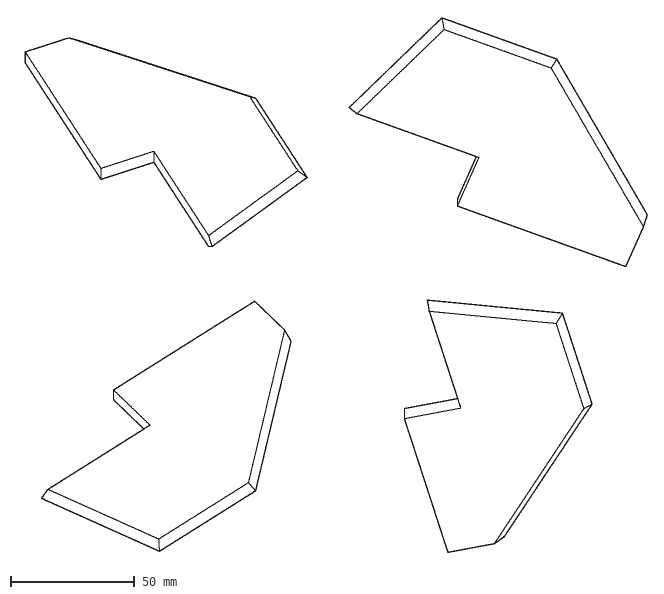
import cadquery as cq
import math

length = 130.0
width = 75.0
thickness = 6.4

step_x = 73.5
shoulder_y = 23.5
top_left_x = 60.0
top_right_x = 110.1

left_corner = (0, shoulder_y)
top_left = (top_left_x, width)
top_right = (top_right_x, width)
right_corner = (length, shoulder_y)

half_thickness = thickness / 2
cutter_size = 2 * half_thickness
overrun = thickness


def bevel_cutter(start, end, side):
    """45 degree wedge along a clockwise edge; side is +1 or -1 for the two faces."""
    dx = end[0] - start[0]
    dy = end[1] - start[1]
    edge_length = math.hypot(dx, dy)
    ux = dx / edge_length
    uy = dy / edge_length
    section = cq.Plane(
        origin=(start[0] - overrun * ux, start[1] - overrun * uy, 0),
        xDir=(uy, -ux, 0),
        normal=(ux, uy, 0),
    )
    wedge = [(0, 0), (cutter_size, side * cutter_size), (-cutter_size, side * cutter_size)]
    return cq.Workplane(section).polyline(wedge).close().extrude(edge_length + 2 * overrun)


outline = [
    (0, 0),
    left_corner,
    top_left,
    top_right,
    right_corner,
    (step_x, shoulder_y),
    (step_x, 0),
]
result = cq.Workplane("XY").polyline(outline).close().extrude(half_thickness, both=True)

beveled_edges = [(left_corner, top_left), (top_left, top_right), (top_right, right_corner)]
for start, end in beveled_edges:
    for side in (1, -1):
        result = result.cut(bevel_cutter(start, end, side))